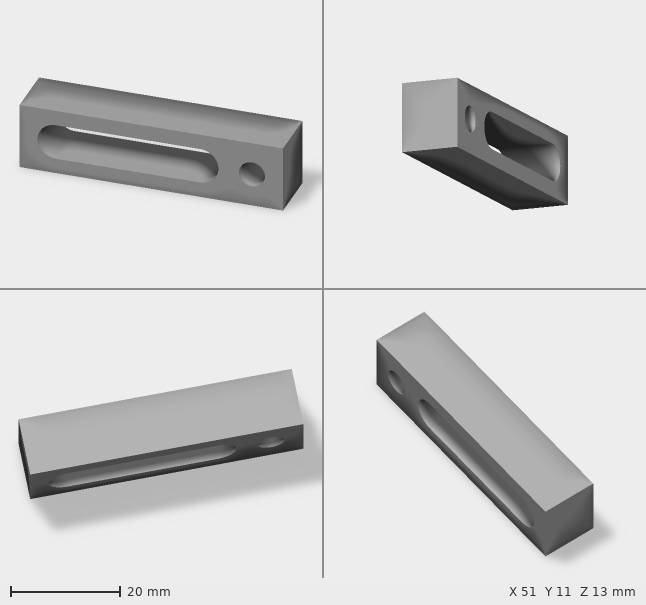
import cadquery as cq

length = 51.0
depth = 11.0
height = 13.0

slot_length = 35.0
slot_width = 7.0
slot_end_margin = 3.5

hole_diameter = 5.0
hole_end_distance = 6.0

slot_center_x = slot_end_margin + slot_length / 2
hole_center_x = length - hole_end_distance
mid_height = height / 2


def front_plane(x):
    """Plane of the front face, centred at x on the block's mid height."""
    return cq.Workplane("XZ", origin=(x, 0, mid_height))


def make_block():
    return cq.Workplane("XY").box(length, depth, height, centered=False)


def slot_cutter():
    return front_plane(slot_center_x).slot2D(slot_length, slot_width).extrude(-depth)


def hole_cutter():
    return front_plane(hole_center_x).circle(hole_diameter / 2).extrude(-depth)


result = make_block().cut(slot_cutter()).cut(hole_cutter())